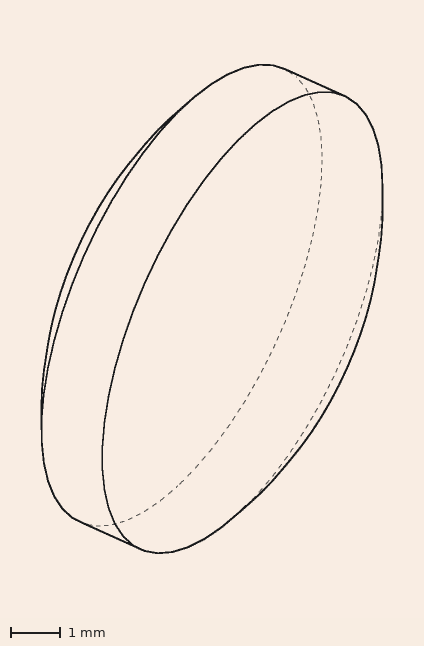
import cadquery as cq
import math

diameter = 10.0
centre_thickness = 4.83
edge_thickness = 1.48

rim_radius = diameter / 2
half_centre = centre_thickness / 2
half_edge = edge_thickness / 2

sag = half_centre - half_edge
surface_radius = (rim_radius**2 + sag**2) / (2 * sag)
sphere_offset = surface_radius - half_centre

mid_angle = math.asin(rim_radius / surface_radius) / 2
mid_arc_x = surface_radius * math.cos(mid_angle) - sphere_offset
mid_arc_y = surface_radius * math.sin(mid_angle)


def make_lens():
    """Revolve the half section of the lens about the optical axis."""
    half_section = (
        cq.Workplane("XY")
        .moveTo(-half_centre, 0)
        .threePointArc((-mid_arc_x, mid_arc_y), (-half_edge, rim_radius))
        .lineTo(half_edge, rim_radius)
        .threePointArc((mid_arc_x, mid_arc_y), (half_centre, 0))
        .close()
    )
    return half_section.revolve(360, (0, 0, 0), (1, 0, 0))


result = make_lens()